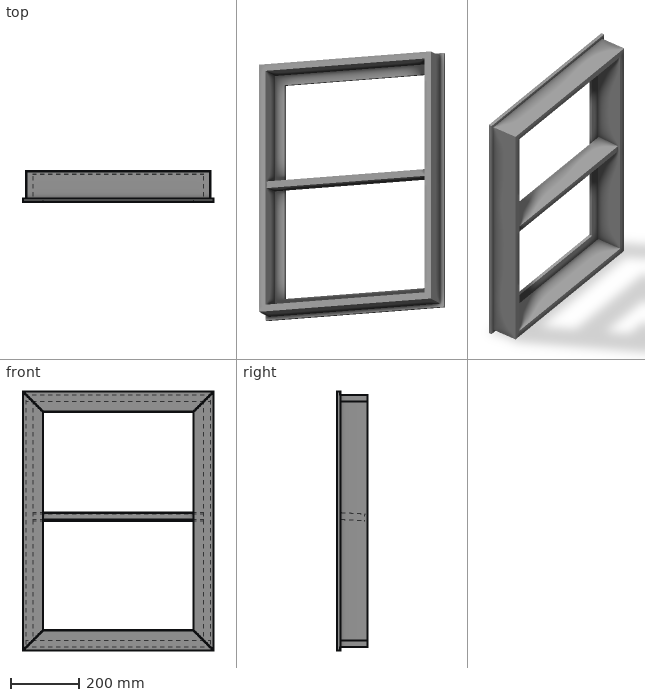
import cadquery as cq

box_width = 540.0
box_height = 740.0
box_depth = 80.0
board_thickness = 20.0

trim_overhang = 10.0
trim_face_width = 60.0
trim_thickness = 10.0

shelf_thickness = 20.0
shelf_depth = 70.0
shelf_tilt = 3.0
shelf_back = 70.7
shelf_back_bottom = 0.7

inner_width = box_width - 2 * board_thickness
inner_height = box_height - 2 * board_thickness
trim_width = box_width + 2 * trim_overhang
trim_height = box_height + 2 * trim_overhang


def make_end_board(side):
    """Full-width board closing the box at the top (side = 1) or bottom (side = -1)."""
    centre_z = side * (box_height - board_thickness) / 2
    board = cq.Workplane("XY").box(box_width, box_depth, board_thickness)
    return board.translate((0, box_depth / 2, centre_z))


def make_side_board(side):
    """Upright board between the end boards, at the right (side = 1) or left (side = -1)."""
    centre_x = side * (box_width - board_thickness) / 2
    board = cq.Workplane("XY").box(board_thickness, box_depth, inner_height)
    return board.translate((centre_x, box_depth / 2, 0))


def make_trim_piece(length):
    """Horizontal mitred strip, outer edge on Z = 0 and inner edge below it, in front of Y = 0."""
    outer_end = length / 2
    inner_end = outer_end - trim_face_width
    outline = [
        (-outer_end, 0),
        (outer_end, 0),
        (inner_end, -trim_face_width),
        (-inner_end, -trim_face_width),
    ]
    return cq.Workplane("XZ").polyline(outline).close().extrude(trim_thickness)


def place_trim_piece(piece, distance, angle):
    """Move a strip out to its edge of the frame, then turn it about the Y axis."""
    return piece.translate((0, 0, distance)).rotate((0, 0, 0), (0, 1, 0), angle)


def make_shelf():
    """Shelf board tilted about its lower back edge so that its front edge rises."""
    shelf = cq.Workplane("XY").box(inner_width, shelf_depth, shelf_thickness, centered=(True, False, False))
    shelf = shelf.translate((0, -shelf_depth, 0)).rotate((0, 0, 0), (1, 0, 0), -shelf_tilt)
    return shelf.translate((0, shelf_back, shelf_back_bottom))


end_boards = [make_end_board(side) for side in (1, -1)]
side_boards = [make_side_board(side) for side in (1, -1)]
end_trims = [place_trim_piece(make_trim_piece(trim_width), trim_height / 2, angle) for angle in (0, 180)]
side_trims = [place_trim_piece(make_trim_piece(trim_height), trim_width / 2, angle) for angle in (90, 270)]
shelf = make_shelf()

bodies = end_boards + side_boards + end_trims + side_trims + [shelf]
result = cq.Compound.makeCompound([body.val() for body in bodies])